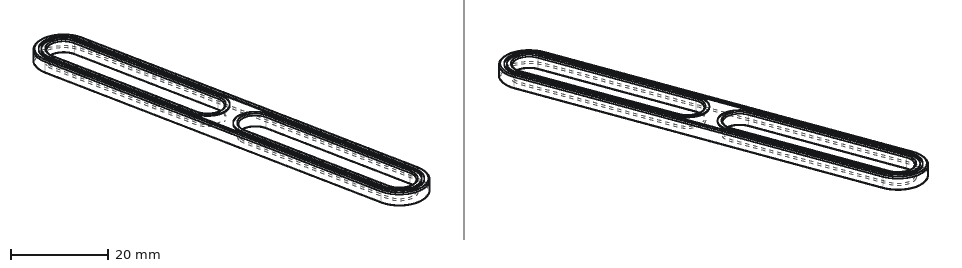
import cadquery as cq

length = 100.0
width = 12.5
thickness = 3.1

slot_width = 7.0
rail_width = (width - slot_width) / 2
slot_pitch = length / 2
slot_length = slot_pitch - 2 * rail_width
slot_centers = [(-slot_pitch / 2, 0), (slot_pitch / 2, 0)]

edge_chamfer = 0.3

rim_width = 1.1
recess_depth = 0.2


def rounded_bars(bar_length, bar_width, height, base, centers):
    """Bars along X with full-round ends, rising from the given base height."""
    return (
        cq.Workplane("XY", origin=(0, 0, base))
        .pushPoints(centers)
        .slot2D(bar_length, bar_width)
        .extrude(height)
    )


def link_body():
    """Full-round plate with two through slots and all its edges chamfered."""
    plate = rounded_bars(length, width, thickness, 0, [(0, 0)])
    slots = rounded_bars(slot_length, slot_width, thickness, 0, slot_centers)
    return plate.cut(slots).faces("<Z or >Z").edges().chamfer(edge_chamfer)


def top_recess():
    """Volume removed between the outer rim and the rims around the slots."""
    base = thickness - recess_depth
    both_rims = 2 * rim_width
    pocket = rounded_bars(length - both_rims, width - both_rims, recess_depth, base, [(0, 0)])
    slot_rims = rounded_bars(
        slot_length + both_rims, slot_width + both_rims, recess_depth, base, slot_centers
    )
    return pocket.cut(slot_rims)


result = link_body().cut(top_recess())